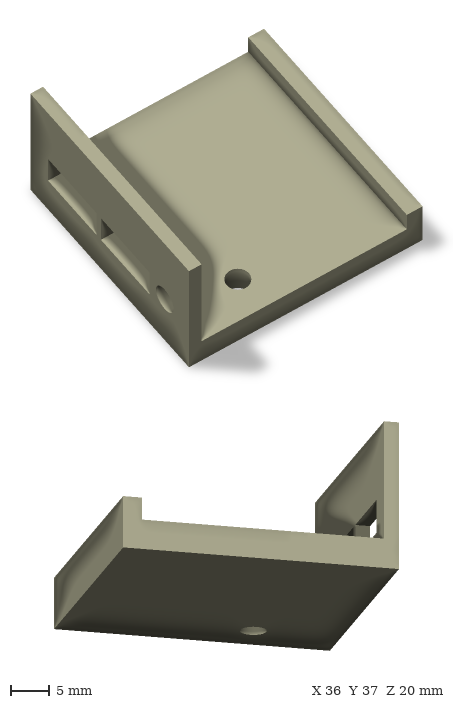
import cadquery as cq

width = 36.0
depth = 37.0
wall_height = 20.0
wall_thickness = 2.0
floor_thickness = 4.0
lip_height = 7.0
lip_thickness = 2.5

window_width = 11.0
window_height = 4.5
window_bottom = 6.0
window_margin = 4.0
post_width = 1.0
window_lefts = (window_margin, window_margin + window_width + post_width)

wall_hole_diameter = 4.0
wall_hole_x = 30.5
wall_hole_z = 8.5
floor_hole_diameter = 3.5
floor_hole_x = 30.25
floor_hole_y = 11.75


def block(x, y, z, size_x, size_y, size_z):
    """Box whose minimum corner is at (x, y, z)."""
    return cq.Workplane("XY").box(size_x, size_y, size_z, centered=False).translate((x, y, z))


def tray():
    """Floor with a tall front wall and a low rear lip, extruded along the width."""
    lip_front = depth - lip_thickness
    return (
        cq.Workplane("YZ")
        .moveTo(0, 0)
        .lineTo(depth, 0)
        .lineTo(depth, lip_height)
        .lineTo(lip_front, lip_height)
        .lineTo(lip_front, floor_thickness)
        .lineTo(wall_thickness, floor_thickness)
        .lineTo(wall_thickness, wall_height)
        .lineTo(0, wall_height)
        .close()
        .extrude(width)
    )


def wall_hole():
    """Cylinder through the front wall only."""
    axis_plane = cq.Workplane("XZ").center(wall_hole_x, wall_hole_z)
    return axis_plane.circle(wall_hole_diameter / 2).extrude(-wall_thickness)


def floor_hole():
    """Vertical cylinder through the floor."""
    axis_plane = cq.Workplane("XY").center(floor_hole_x, floor_hole_y)
    return axis_plane.circle(floor_hole_diameter / 2).extrude(floor_thickness)


result = tray()
for window_left in window_lefts:
    result = result.cut(block(window_left, 0, window_bottom, window_width, wall_thickness, window_height))
result = result.cut(wall_hole()).cut(floor_hole())